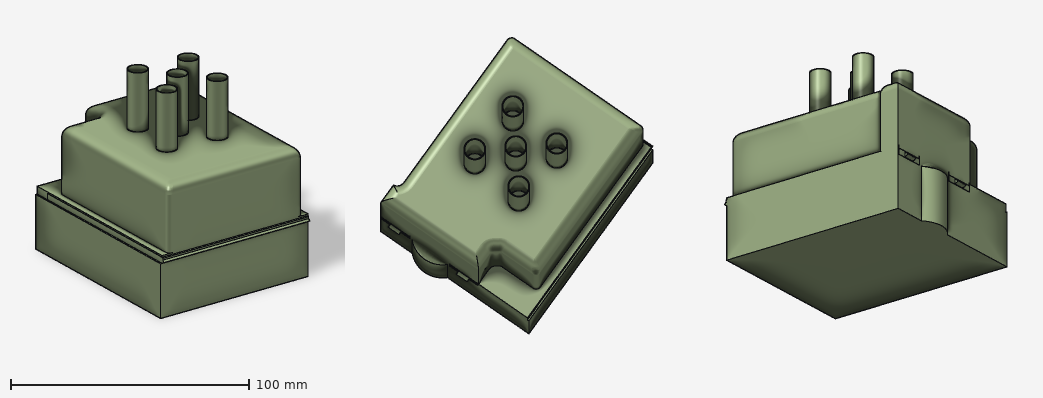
import cadquery as cq
import math

BODY_LENGTH = 90.1
BODY_DEPTH = 76.2
BASE_HEIGHT = 25.1
SHELF_HEIGHT = 28.7
FRONT_STEP = 0.71

COVER_TOP = 60.0
COVER_FRONT = 4.0
COVER_BACK = 73.3
NOTCH_LENGTH = 11.8
NOTCH_BACK = 25.8
LUG_LENGTH = 9.2
NOTCH_BEVEL_X = 2.4
NOTCH_BEVEL_Y = 2.9
NOTCH_BEVEL_RADIUS = 1.9
LUG_CORNER_RADIUS = 3.4
OUTER_CORNER_RADIUS = 2.1
TOP_ROUND = 4.9

TUBE_TOP = 87.0
TUBE_RADIUS = 4.6
TUBE_BORE_RADIUS = 4.2
TUBE_CENTER_X = 46.7
TUBE_CENTER_Y = 39.8
TUBE_CIRCLE_RADIUS = 17.3
TUBE_ANGLE = 39.4
OUTER_TUBES = 4

BULGE_REACH = 3.7
BULGE_HALF_WIDTH = 9.1
BULGE_Y = 51.0
BULGE_RADIUS = (BULGE_HALF_WIDTH**2 + BULGE_REACH**2) / (2 * BULGE_REACH)
BLEND_HALF_WIDTH = 9.0
BLEND_STEPS = 4

PANEL_TOP = 27.9
PANEL_RECESS = 0.1

WINDOW_WIDTH = 14.4
WINDOW_CENTERS_Y = (33.5, 68.5)
HOOK_WIDTH = 5.6
HOOK_REACH = 1.5
HOOK_TOP = 27.5
HOOK_TIP_Z = 26.4
HOOK_BOTTOM = 25.2
SLIT_TOP = 29.1
SLIT_WIDTH = 0.2

STRIP_START = 7.4
RIDGE_REACH = 1.1
RIDGE_LIP = 0.4
RIDGE_LIP_TOP = 27.5
RIDGE_LIP_BOTTOM = 26.7
RIDGE_TIP_Z = 25.8

ARCH_CENTER_X = 4.6
ARCH_HALF_WIDTH = 3.9
ARCH_HEIGHT = 12.1
ARCH_INNER_SHIFT = 0.5
ARCH_INNER_HALF_WIDTH = 2.3
ARCH_INNER_HEIGHT = 10.7
ARCH_DEPTH = 0.2


def block(x0, x1, y0, y1, z0, z1):
    return cq.Workplane("XY").box(x1 - x0, y1 - y0, z1 - z0, centered=False).translate((x0, y0, z0))


def make_base():
    lower = block(0, BODY_LENGTH, 0, BODY_DEPTH, 0, BASE_HEIGHT)
    shelf = block(0, BODY_LENGTH, FRONT_STEP, BODY_DEPTH, BASE_HEIGHT, SHELF_HEIGHT)
    return lower.union(shelf)


def round_upright_edge(solid, x, y, radius):
    middle = (x, y, (SHELF_HEIGHT + COVER_TOP) / 2)
    return solid.edges(cq.selectors.NearestToPointSelector(middle)).fillet(radius)


def make_cover():
    arc_center_x = LUG_LENGTH + LUG_CORNER_RADIUS
    arc_center_y = COVER_BACK + LUG_CORNER_RADIUS
    arc_offset_y = arc_center_y - BODY_DEPTH
    arc_end_x = arc_center_x - math.sqrt(LUG_CORNER_RADIUS**2 - arc_offset_y**2)
    diagonal = LUG_CORNER_RADIUS * math.sqrt(0.5)
    cover = (
        cq.Workplane("XY", origin=(0, 0, SHELF_HEIGHT))
        .moveTo(0, NOTCH_BACK)
        .lineTo(NOTCH_LENGTH - NOTCH_BEVEL_X, NOTCH_BACK)
        .lineTo(NOTCH_LENGTH, NOTCH_BACK - NOTCH_BEVEL_Y)
        .lineTo(NOTCH_LENGTH, COVER_FRONT)
        .lineTo(BODY_LENGTH, COVER_FRONT)
        .lineTo(BODY_LENGTH, COVER_BACK)
        .lineTo(arc_center_x, COVER_BACK)
        .threePointArc((arc_center_x - diagonal, arc_center_y - diagonal), (arc_end_x, BODY_DEPTH))
        .lineTo(0, BODY_DEPTH)
        .close()
        .extrude(COVER_TOP - SHELF_HEIGHT)
    )
    for x, y, radius in (
        (NOTCH_LENGTH - NOTCH_BEVEL_X, NOTCH_BACK, NOTCH_BEVEL_RADIUS),
        (NOTCH_LENGTH, NOTCH_BACK - NOTCH_BEVEL_Y, NOTCH_BEVEL_RADIUS),
        (NOTCH_LENGTH, COVER_FRONT, OUTER_CORNER_RADIUS),
        (BODY_LENGTH, COVER_FRONT, OUTER_CORNER_RADIUS),
        (BODY_LENGTH, COVER_BACK, OUTER_CORNER_RADIUS),
    ):
        cover = round_upright_edge(cover, x, y, radius)
    cover = cover.faces(">Z").edges().fillet(TOP_ROUND)
    return cover.cut(make_arch_recess())


def make_arch_recess():
    return (
        cq.Workplane("XZ", origin=(ARCH_CENTER_X, NOTCH_BACK, SHELF_HEIGHT))
        .ellipse(ARCH_HALF_WIDTH, ARCH_HEIGHT)
        .workplane(offset=-ARCH_DEPTH)
        .center(ARCH_INNER_SHIFT, 0)
        .ellipse(ARCH_INNER_HALF_WIDTH, ARCH_INNER_HEIGHT)
        .loft(ruled=True)
    )


def make_tubes():
    centers = [(0, 0)]
    for index in range(OUTER_TUBES):
        angle = math.radians(TUBE_ANGLE + index * 360 / OUTER_TUBES)
        centers.append((TUBE_CIRCLE_RADIUS * math.cos(angle), TUBE_CIRCLE_RADIUS * math.sin(angle)))
    return (
        cq.Workplane("XY", origin=(TUBE_CENTER_X, TUBE_CENTER_Y, COVER_TOP))
        .pushPoints(centers)
        .circle(TUBE_RADIUS)
        .circle(TUBE_BORE_RADIUS)
        .extrude(TUBE_TOP - COVER_TOP)
    )


def make_bulge():
    return (
        cq.Workplane("XY")
        .moveTo(0, BULGE_Y - BULGE_HALF_WIDTH)
        .threePointArc((-BULGE_REACH, BULGE_Y), (0, BULGE_Y + BULGE_HALF_WIDTH))
        .close()
        .extrude(BASE_HEIGHT)
    )


def blend_section(offset_y):
    reach = math.sqrt(BULGE_RADIUS**2 - offset_y**2) - (BULGE_RADIUS - BULGE_REACH)
    inset = reach * (1 - math.sqrt(0.5))
    return (
        cq.Workplane("XZ", origin=(0, BULGE_Y + offset_y, BASE_HEIGHT))
        .moveTo(0, 0)
        .lineTo(-reach, 0)
        .threePointArc((-inset, inset), (0, reach))
        .close()
        .val()
    )


def make_blend():
    sections = [
        blend_section(BLEND_HALF_WIDTH * step / BLEND_STEPS)
        for step in range(-BLEND_STEPS, BLEND_STEPS + 1)
    ]
    return cq.Workplane(cq.Solid.makeLoft(sections))


def make_hook(center_y):
    return (
        cq.Workplane("XZ", origin=(0, center_y + HOOK_WIDTH / 2, 0))
        .moveTo(PANEL_RECESS, HOOK_TOP)
        .lineTo(-HOOK_REACH, HOOK_TIP_Z)
        .lineTo(PANEL_RECESS, HOOK_BOTTOM)
        .close()
        .extrude(HOOK_WIDTH)
    )


def make_window(center_y):
    front = center_y - WINDOW_WIDTH / 2
    back = center_y + WINDOW_WIDTH / 2
    window = block(0, PANEL_RECESS, front, back, BASE_HEIGHT, PANEL_TOP)
    for slit_start in (front, back - SLIT_WIDTH):
        slit = block(0, PANEL_RECESS, slit_start, slit_start + SLIT_WIDTH, BASE_HEIGHT, SLIT_TOP)
        window = window.union(slit)
    return window


def make_front_strip():
    return block(
        STRIP_START, BODY_LENGTH, FRONT_STEP, FRONT_STEP + PANEL_RECESS,
        BASE_HEIGHT, PANEL_TOP,
    )


def make_ridge():
    return (
        cq.Workplane("XZ", origin=(BODY_LENGTH, BODY_DEPTH, 0))
        .moveTo(0, BASE_HEIGHT)
        .lineTo(RIDGE_REACH, RIDGE_TIP_Z)
        .lineTo(RIDGE_LIP, RIDGE_LIP_BOTTOM)
        .lineTo(RIDGE_LIP, RIDGE_LIP_TOP)
        .lineTo(0, PANEL_TOP)
        .close()
        .extrude(BODY_DEPTH - FRONT_STEP - PANEL_RECESS)
    )


housing = make_base().union(make_cover()).union(make_bulge())
housing = housing.cut(make_front_strip()).union(make_ridge())
for window_y in WINDOW_CENTERS_Y:
    housing = housing.cut(make_window(window_y)).union(make_hook(window_y))
housing = housing.union(make_blend())
result = housing.union(make_tubes())